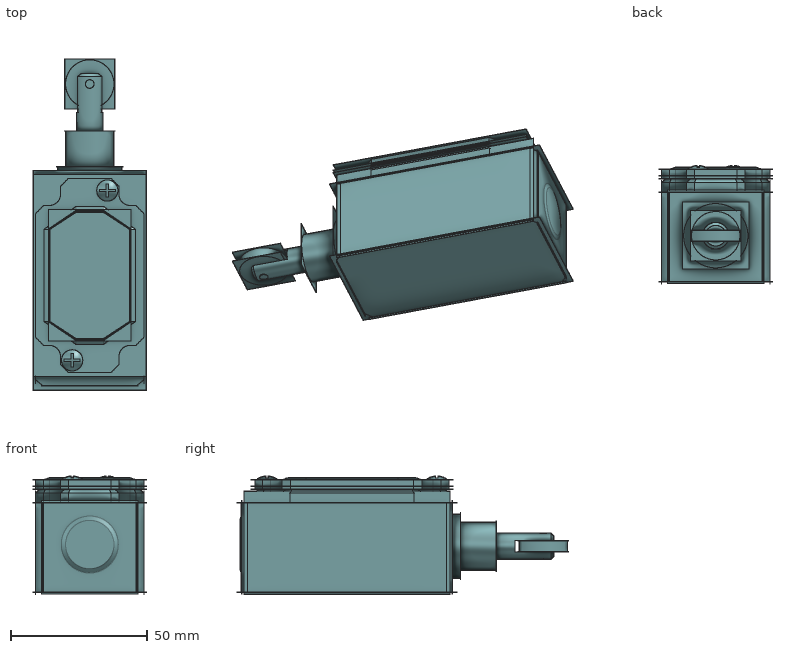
import cadquery as cq
import math

PLATE = 0.1
SPREAD = 1.04
FACE_INSET = 0.1

WIDTH = 40.0
LENGTH = 77.8
CORNER_X = 2.9
CORNER_Y = 2.4
BOTTOM_Z = 0.7
SHELF_Z = 33.8
SEAT_Z = 38.5
SEAT_CHAMFER = 1.3

PLUG_Z = 18.3
PLUG_RADIUS = 10.5
PLUG_FACE_RADIUS = 8.9
PLUG_HEIGHT = 0.5

COVER_Y = 1.8
COVER_LENGTH = 71.5
SIDE_LENGTH = 45.4
SIDE_CHAMFER = 3.0
LOBE_HALF_WIDTH = 10.7
LOBE_CHAMFER = 2.9
LOBE_FILLET = 4.1
GASKET_TOP_Z = 39.6
COVER_TOP_Z = 42.2

PAD_TOP_Z = 42.9
PAD_WIDTH = 29.3
PAD_LENGTH = 46.5
PAD_END_WIDTH = 10.0
PAD_SIDE_LENGTH = 33.9
PAD_SLOPE_RUN = 2.2

SCREW_X = 6.5
SCREW_Y = 31.2
SCREW_RADIUS = 3.9
SCREW_TOP_Z = 43.5
SLOT_WIDTH = 0.9
SLOT_DEPTH = 0.7
SHORT_SLOT_LENGTH = 4.9

AXIS_Z = 17.7
FLANGE_DIAMETER = 23.7
FLANGE_LENGTH = 2.9
HEAD_DIAMETER = 17.8
HEAD_LENGTH = 13.2
STEM_DIAMETER = 9.8
STEM_TIP_Y = 76.1
STEM_CHAMFER = 1.1
FORK_END_Y = 61.8

ROLLER_DIAMETER = 17.8
ROLLER_WIDTH = 4.1
AXLE_DIAMETER = 3.2
AXLE_LENGTH = STEM_DIAMETER

TOTAL_LENGTH = 121.9
ROLLER_Y = TOTAL_LENGTH - SPREAD * (LENGTH + ROLLER_DIAMETER) / 2

END_Y = LENGTH / 2


def box(x_size, y_size, z_size, x, y, z):
    """Box with its centre at the given place."""
    return cq.Workplane("XY").box(x_size, y_size, z_size).translate((x, y, z))


def level_plate(face_x, face_y, y, bottom_z):
    """Overhanging plate of a level face, standing on bottom_z."""
    return box(SPREAD * face_x, SPREAD * face_y, PLATE, 0, y, bottom_z + PLATE / 2)


def octagon_points(width, length, end_width, side_length):
    """Corners of a rectangle whose four corners are cut off, centred on the origin."""
    right = [
        (end_width / 2, -length / 2),
        (width / 2, -side_length / 2),
        (width / 2, side_length / 2),
        (end_width / 2, length / 2),
    ]
    left = [(-x, y) for x, y in reversed(right)]
    return right + left


def rod(diameter, start_y, end_y):
    """Round bar on the plunger axis."""
    end_plane = cq.Workplane("XZ", origin=(0, end_y, AXIS_Z))
    return end_plane.circle(diameter / 2).extrude(end_y - start_y)


def upright_disc(diameter, height):
    """Disc on the roller axis, centred on the plunger axis."""
    middle = cq.Workplane("XY", origin=(0, ROLLER_Y, AXIS_Z))
    return middle.circle(diameter / 2).extrude(height / 2, both=True)


def lobed_block(bottom_z, top_z):
    """Prism with the cover outline: a wide middle and a narrower lobe at each end."""
    side_x = WIDTH / 2
    side_y = SIDE_LENGTH / 2
    shoulder_y = side_y + SIDE_CHAMFER
    tip_y = COVER_LENGTH / 2
    fillet_x = LOBE_HALF_WIDTH + LOBE_FILLET
    fillet_y = shoulder_y + LOBE_FILLET
    bulge = LOBE_FILLET * math.sqrt(0.5)

    quarter = (
        cq.Workplane("XY", origin=(0, COVER_Y, bottom_z))
        .lineTo(side_x, 0)
        .lineTo(side_x, side_y)
        .lineTo(side_x - SIDE_CHAMFER, shoulder_y)
        .lineTo(fillet_x, shoulder_y)
        .threePointArc((fillet_x - bulge, fillet_y - bulge), (LOBE_HALF_WIDTH, fillet_y))
        .lineTo(LOBE_HALF_WIDTH, tip_y - LOBE_CHAMFER)
        .lineTo(LOBE_HALF_WIDTH - LOBE_CHAMFER, tip_y)
        .lineTo(0, tip_y)
        .close()
        .extrude(top_z - bottom_z)
    )
    half = quarter.union(quarter.mirror("YZ"))
    return half.union(half.mirror("XZ", (0, COVER_Y, 0))).clean()


def make_housing():
    outline = octagon_points(WIDTH, LENGTH, WIDTH - 2 * CORNER_X, LENGTH - 2 * CORNER_Y)
    base = cq.Workplane("XY", origin=(0, 0, BOTTOM_Z))
    body = base.polyline(outline).close().extrude(SHELF_Z - BOTTOM_Z)
    seat = lobed_block(SHELF_Z, SEAT_Z).faces(">Z").chamfer(SEAT_CHAMFER)
    plug = (
        cq.Workplane("XZ", origin=(0, -END_Y, PLUG_Z))
        .circle(PLUG_RADIUS)
        .workplane(offset=PLUG_HEIGHT)
        .circle(PLUG_FACE_RADIUS)
        .loft()
    )
    body = body.union(seat).union(plug)

    for bottom_z in (BOTTOM_Z, SHELF_Z - PLATE):
        body = body.union(level_plate(WIDTH, LENGTH, 0, bottom_z))

    side_top_z = SEAT_Z - SEAT_CHAMFER
    side_height = side_top_z - BOTTOM_Z
    side_mid_z = (side_top_z + BOTTOM_Z) / 2
    end_height = SHELF_Z - BOTTOM_Z
    end_mid_z = (SHELF_Z + BOTTOM_Z) / 2
    for side in (-1, 1):
        side_x = side * (WIDTH - PLATE) / 2
        side_length = SPREAD * (LENGTH - 2 * CORNER_Y)
        body = body.union(box(PLATE, side_length, SPREAD * side_height, side_x, 0, side_mid_z))
        end_y = side * (END_Y - FACE_INSET - PLATE / 2)
        end_width = SPREAD * (WIDTH - 2 * CORNER_X)
        body = body.union(box(end_width, PLATE, SPREAD * end_height, 0, end_y, end_mid_z))
    return body


def make_gasket():
    return lobed_block(SEAT_Z, GASKET_TOP_Z).union(level_plate(WIDTH, COVER_LENGTH, COVER_Y, SEAT_Z))


def pad_outline(sketch, grow):
    """Pad outline, with its sides moved outward by grow."""
    width = PAD_WIDTH + 2 * grow
    length = PAD_LENGTH + 2 * grow
    return sketch.polyline(octagon_points(width, length, PAD_END_WIDTH, PAD_SIDE_LENGTH)).close()


def make_cover():
    slab = lobed_block(GASKET_TOP_Z, COVER_TOP_Z)
    for bottom_z in (GASKET_TOP_Z, COVER_TOP_Z - PLATE):
        slab = slab.union(level_plate(WIDTH, COVER_LENGTH, COVER_Y, bottom_z))
    foot = pad_outline(cq.Workplane("XY", origin=(0, COVER_Y, COVER_TOP_Z)), PAD_SLOPE_RUN)
    pad = pad_outline(foot.workplane(offset=PAD_TOP_Z - COVER_TOP_Z), 0).loft()
    pad_plate = level_plate(PAD_WIDTH, PAD_LENGTH, COVER_Y, PAD_TOP_Z - FACE_INSET - PLATE)
    return slab.union(pad).union(pad_plate)


def make_screw(x, y):
    """Domed head with a cross slot, resting on the cover."""
    rise = SCREW_TOP_Z - COVER_TOP_Z
    dome_radius = (SCREW_RADIUS**2 + rise**2) / (2 * rise)
    ball = cq.Workplane("XY", origin=(0, 0, SCREW_TOP_Z - dome_radius)).sphere(dome_radius)
    head = cq.Workplane("XY", origin=(0, 0, COVER_TOP_Z)).circle(SCREW_RADIUS).extrude(rise).intersect(ball)
    slot_z = SCREW_TOP_Z - SLOT_DEPTH / 2
    head = head.cut(box(2 * SCREW_RADIUS, SLOT_WIDTH, SLOT_DEPTH, 0, 0, slot_z))
    head = head.cut(box(SLOT_WIDTH, SHORT_SLOT_LENGTH, SLOT_DEPTH, 0, 0, slot_z))
    return head.translate((x, y, 0))


def make_plunger():
    flange_y = END_Y + FLANGE_LENGTH
    head_y = flange_y + HEAD_LENGTH
    stem = rod(STEM_DIAMETER, head_y, STEM_TIP_Y).faces(">Y").chamfer(STEM_CHAMFER)
    plunger = rod(FLANGE_DIAMETER, END_Y, flange_y).union(rod(HEAD_DIAMETER, flange_y, head_y)).union(stem)
    for diameter, face_y in ((FLANGE_DIAMETER, flange_y), (HEAD_DIAMETER, head_y)):
        side = SPREAD * diameter
        plunger = plunger.union(box(side, PLATE, side, 0, face_y - PLATE / 2, AXIS_Z))

    slot_length = STEM_TIP_Y - FORK_END_Y
    slot_y = (STEM_TIP_Y + FORK_END_Y) / 2
    plunger = plunger.cut(box(STEM_DIAMETER, slot_length, ROLLER_WIDTH, 0, slot_y, AXIS_Z))
    return plunger.cut(upright_disc(AXLE_DIAMETER, AXLE_LENGTH))


def make_roller():
    """Roller and axle in one piece."""
    roller = upright_disc(ROLLER_DIAMETER, ROLLER_WIDTH).union(upright_disc(AXLE_DIAMETER, AXLE_LENGTH))
    for bottom_z in (AXIS_Z - ROLLER_WIDTH / 2, AXIS_Z + ROLLER_WIDTH / 2 - PLATE):
        roller = roller.union(level_plate(ROLLER_DIAMETER, ROLLER_DIAMETER, ROLLER_Y, bottom_z))
    return roller


housing = make_housing()
gasket = make_gasket()
cover = make_cover()
plunger = make_plunger()
roller = make_roller()

screws = []
for turn in (-1, 1):
    screws.append(make_screw(turn * SCREW_X, COVER_Y + turn * SCREW_Y))

result = cq.Compound.makeCompound([
    housing.val(),
    gasket.val(),
    cover.val(),
    plunger.val(),
    roller.val(),
    *[screw.val() for screw in screws],
])